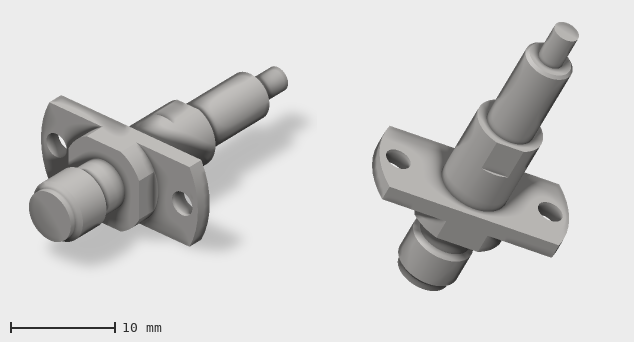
import cadquery as cq


overall_length = 33.25

flange_diameter = 20.0
flange_height = 9.0
flange_thickness = 1.73
screw_hole_diameter = 2.6
screw_hole_spacing = 16.03

collar_diameter = 10.0
collar_length = 2.25
collar_side_width = flange_height
collar_lip = 0.1

plug_end = -10.15
neck_diameter = 5.35
plug_diameter = 6.35
plug_length = 4.42
plug_tip_length = 0.7
plug_chamfer = (plug_diameter - neck_diameter) / 2

body_diameter = 6.95
body_end = 10.05
wrench_width = 6.35
wrench_flat_length = 3.55
sleeve_diameter = 5.0
sleeve_chamfer = 0.3
tip_diameter = 2.6
tip_length = 3.8
tip_end = plug_end + overall_length
sleeve_end = tip_end - tip_length


def cylinder(diameter, start, end):
    """Round bar on the Y axis from Y = start to Y = end."""
    profile = cq.Workplane("XZ", origin=(0, start, 0)).circle(diameter / 2)
    return profile.extrude(start - end)


def block(width, height, start, end):
    """Rectangular bar centred on the Y axis from Y = start to Y = end."""
    profile = cq.Workplane("XZ", origin=(0, start, 0)).rect(width, height)
    return profile.extrude(start - end)


def make_flange():
    disc = cylinder(flange_diameter, 0, flange_thickness)
    plate = disc.intersect(block(flange_diameter, flange_height, 0, flange_thickness))
    for side in (-1, 1):
        hole = cylinder(screw_hole_diameter, 0, flange_thickness)
        plate = plate.cut(hole.translate((side * screw_hole_spacing / 2, 0, 0)))
    return plate


def make_collar():
    lip = block(collar_diameter, flange_height, -collar_lip, 0)
    flats = block(collar_side_width, flange_height, -collar_length, 0)
    return cylinder(collar_diameter, -collar_length, 0).intersect(lip.union(flats))


def make_plug():
    neck = cylinder(neck_diameter, plug_end, -collar_length)
    plug_start = plug_end + plug_tip_length
    barrel = cylinder(plug_diameter, plug_start, plug_start + plug_length)
    return neck.union(barrel.faces("|Y").edges().chamfer(plug_chamfer))


def make_body():
    flat_start = body_end - wrench_flat_length
    full_part = cylinder(body_diameter, flange_thickness, flat_start)
    flatted_part = cylinder(body_diameter, flat_start, body_end)
    flatted_part = flatted_part.intersect(block(body_diameter, wrench_width, flat_start, body_end))
    return full_part.union(flatted_part)


def make_sleeve_and_tip():
    sleeve = cylinder(sleeve_diameter, body_end, sleeve_end)
    sleeve = sleeve.faces(">Y").edges().chamfer(sleeve_chamfer)
    return sleeve.union(cylinder(tip_diameter, sleeve_end, tip_end))


result = make_flange()
for section in (make_collar(), make_plug(), make_body(), make_sleeve_and_tip()):
    result = result.union(section)